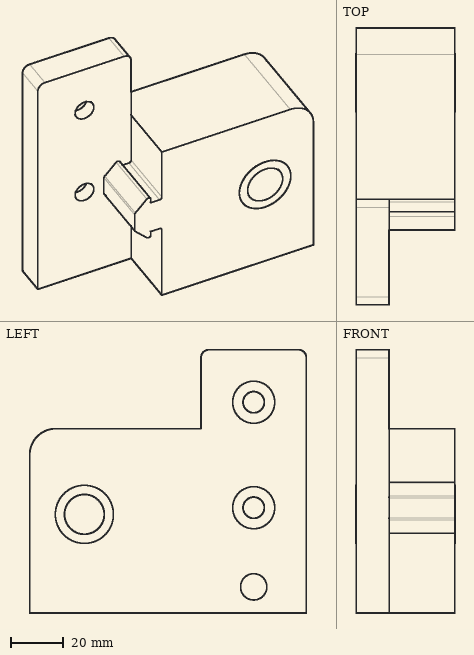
import cadquery as cq

length = 105.0
height = 100.0
plate_thickness = 12.5
block_thickness = 25.0
body_thickness = plate_thickness + block_thickness

upright_width = 40.0
shoulder_height = 70.0
upright_corner_radius = 3.0
shoulder_corner_radius = 10.0

nose_height = 40.0
nose_tip_y = 28.4
nose_back_y = 35.3
nose_tip_half_width = 4.2
neck_half_width = 7.0
nose_edge_radius = 1.0
barb_half_width = nose_tip_half_width + nose_back_y - nose_tip_y

screw_y = upright_width / 2
screw_heights = (nose_height, 2 * nose_height)
screw_diameter = 8.0
counterbore_diameter = 16.0
counterbore_depth = 6.8
pin_height = 10.0
pin_diameter = 10.0
pin_depth = 4.0
pivot_y = 84.2
pivot_height = 37.5
pivot_diameter = 15.0
pad_diameter = 22.0
pad_rise = 0.1


def x_cylinder(y, z, diameter, start, depth):
    """Cylinder along +X, beginning at X = start."""
    return cq.Workplane("YZ", origin=(start, y, z)).circle(diameter / 2).extrude(depth)


def make_plate():
    """Full-outline plate with a tall upright at the front."""
    outline = [
        (0, 0),
        (length, 0),
        (length, shoulder_height),
        (upright_width, shoulder_height),
        (upright_width, height),
        (0, height),
    ]
    plate = cq.Workplane("YZ").polyline(outline).close().extrude(plate_thickness)
    return plate.edges("|X and >Z").fillet(upright_corner_radius)


def make_nose():
    """Arrow-shaped barb joined to the block by a narrower neck."""
    low_half = [
        (upright_width, -neck_half_width),
        (nose_back_y, -neck_half_width),
        (nose_back_y, -barb_half_width),
        (nose_tip_y, -nose_tip_half_width),
    ]
    high_half = [(y, -z) for y, z in reversed(low_half)]
    nose = (
        cq.Workplane("YZ", origin=(plate_thickness, 0, nose_height))
        .polyline(low_half + high_half)
        .close()
        .extrude(block_thickness)
    )
    middle_x = plate_thickness + block_thickness / 2
    for y, half_width in ((nose_back_y, barb_half_width), (nose_tip_y, nose_tip_half_width)):
        for side in (-1, 1):
            corner = (middle_x, y, nose_height + side * half_width)
            nose = nose.edges(cq.selectors.NearestToPointSelector(corner)).fillet(nose_edge_radius)
    return nose


def make_block():
    """Thick block behind the upright, with the nose on its front wall."""
    block = (
        cq.Workplane("XY")
        .box(block_thickness, length - upright_width, shoulder_height, centered=False)
        .translate((plate_thickness, upright_width, 0))
    )
    block = block.union(make_nose())
    for side in (-1, 1):
        root = (plate_thickness + block_thickness / 2, upright_width, nose_height + side * neck_half_width)
        block = block.edges(cq.selectors.NearestToPointSelector(root)).fillet(nose_edge_radius)
    return block


body = make_plate().union(make_block()).clean()
shoulder_corner = (body_thickness / 2, length, shoulder_height)
body = body.edges(cq.selectors.NearestToPointSelector(shoulder_corner)).fillet(shoulder_corner_radius)

pad_length = body_thickness + 2 * pad_rise
body = body.union(x_cylinder(pivot_y, pivot_height, pad_diameter, -pad_rise, pad_length))
body = body.cut(x_cylinder(pivot_y, pivot_height, pivot_diameter, -pad_rise, pad_length))

for screw_height in screw_heights:
    body = body.cut(x_cylinder(screw_y, screw_height, screw_diameter, 0, plate_thickness))
    body = body.cut(x_cylinder(screw_y, screw_height, counterbore_diameter, 0, counterbore_depth))

result = body.cut(x_cylinder(screw_y, pin_height, pin_diameter, 0, pin_depth))